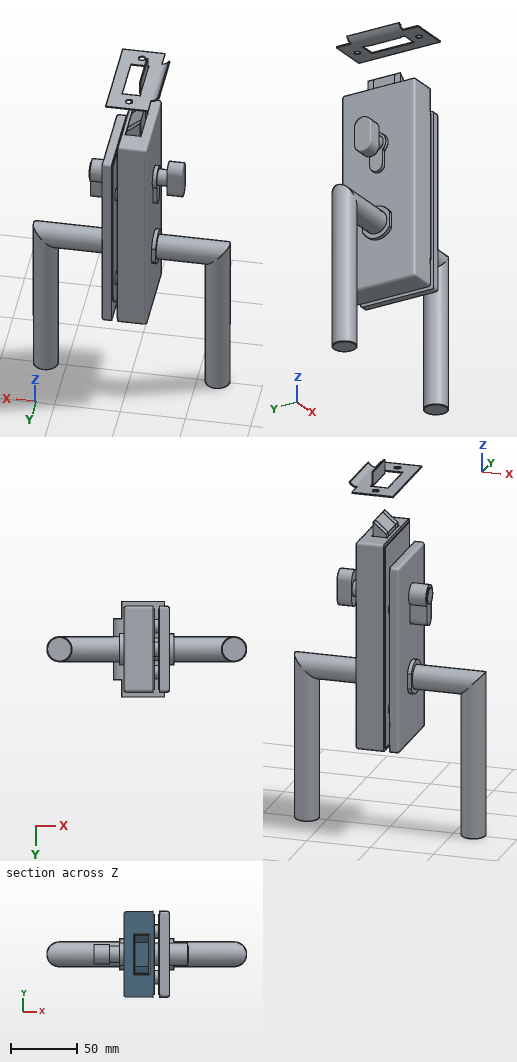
import cadquery as cq

LEVER_REACH = 75.2
LEVER_RADIUS = 9.5
LEVER_AXIS_Z = 121.7
LEVER_END_CHAMFER = 0.5

COVER_WIDTH = 64.9
COVER_BOTTOM_Z = 70.5
COVER_EDGE_RADIUS = 2.15
OUTER_FACE_X = 17.2
CASE_BACK_X = 5.0
CASE_TOP_Z = 236.0
PLATE_BACK_X = 9.8
PLATE_TOP_Z = 218.5
PAD_THICKNESS = 1.0
PAD_INSET = 2.3
PLATE_PAD_BOTTOM_INSET = 6.0
PLATE_PAD_CORNER_RADIUS = 22.5

ROSE_RADIUS = 13.2
ROSE_WIDTH = 23.5
ROSE_FACE_X = 20.5

STUD_RADIUS = 5.2
STUD_OFFSET_Y = 17.2
STUD_HEIGHTS = (101.3, 180.5)

CYLINDER_AXIS_Z = 187.5
CYLINDER_RADIUS = 8.5
CYLINDER_HEIGHT = 32.0
CYLINDER_WEB_WIDTH = 11.2
CYLINDER_BACK_X = 30.7
PLUG_RADIUS = 6.3
PLUG_END_X = 31.5
TURN_WIDTH = 15.0
TURN_HEIGHT = 28.7
TURN_FRONT_X = -40.0
TURN_BACK_X = -28.0
TURN_EDGE_RADIUS = 1.0

LATCH_FRONT_X = -9.0
LATCH_BACK_X = 1.5
LATCH_WIDTH = 28.7
LATCH_CENTRE_WIDTH = 18.5
LATCH_TIP_Z = 247.0
LATCH_SHOULDER_Z = 238.2
LATCH_POCKET_DEPTH = 14.3
LATCH_CLEARANCE = 1.0

STRIKE_FRONT_X = -19.0
STRIKE_BACK_X = 13.5
STRIKE_WIDTH = 72.0
STRIKE_BOTTOM_Z = 276.0
STRIKE_THICKNESS = 1.0
STRIKE_OPENING_FRONT_X = -9.8
STRIKE_OPENING_LENGTH = 13.8
STRIKE_OPENING_WIDTH = 37.3
STRIKE_HOLE_RADIUS = 2.5
STRIKE_HOLE_OFFSET_Y = 27.3
STRIKE_TOP_Z = 287.0
STRIKE_TAB_WIDTH = 29.8
LIP_WIDTH = 46.0
LIP_RADIUS = 7.0
LIP_ANGLE = 65.0


def box_between(x_start, x_end, width, z_bottom, z_top):
    """Box centred on Y = 0 between two X planes and two heights."""
    size_x = x_end - x_start
    box = cq.Workplane("XY").box(size_x, width, z_top - z_bottom, centered=(False, True, False))
    return box.translate((x_start, 0, z_bottom))


def rod_along_x(x_start, x_end, radius, y, z):
    """Round rod parallel to X."""
    plane = cq.Workplane("YZ", origin=(x_start, y, z))
    return plane.circle(radius).extrude(x_end - x_start)


def cylinder_profile(x_start, x_end):
    """Profile-cylinder section: a round barrel over a narrow web with a round foot."""
    barrel = rod_along_x(x_start, x_end, CYLINDER_RADIUS, 0, CYLINDER_AXIS_Z)
    foot_radius = CYLINDER_WEB_WIDTH / 2
    foot_z = CYLINDER_AXIS_Z + CYLINDER_RADIUS - CYLINDER_HEIGHT + foot_radius
    web = box_between(x_start, x_end, CYLINDER_WEB_WIDTH, foot_z, CYLINDER_AXIS_Z)
    foot = rod_along_x(x_start, x_end, foot_radius, 0, foot_z)
    return barrel.union(web).union(foot)


def rose(x_start, x_end):
    """Disc with two vertical side flats around the lever axis."""
    disc = rod_along_x(x_start, x_end, ROSE_RADIUS, 0, LEVER_AXIS_Z)
    z_bottom = LEVER_AXIS_Z - ROSE_RADIUS
    z_top = LEVER_AXIS_Z + ROSE_RADIUS
    return disc.intersect(box_between(x_start, x_end, ROSE_WIDTH, z_bottom, z_top))


def glass_pad(x_start, x_end, z_top, bottom_inset):
    """Thin raised pad, set in from the outline of a cover, that faces the glass."""
    pad_width = COVER_WIDTH - 2 * PAD_INSET
    return box_between(x_start, x_end, pad_width, COVER_BOTTOM_Z + bottom_inset, z_top - PAD_INSET)


def make_case():
    case = box_between(-OUTER_FACE_X, CASE_BACK_X, COVER_WIDTH, COVER_BOTTOM_Z, CASE_TOP_Z)
    case = case.edges("not >X").fillet(COVER_EDGE_RADIUS)
    case = case.union(rose(-ROSE_FACE_X, -OUTER_FACE_X))
    pad_face_x = CASE_BACK_X + PAD_THICKNESS
    case = case.union(glass_pad(CASE_BACK_X, pad_face_x, CASE_TOP_Z, PAD_INSET))
    latch_pocket = box_between(
        LATCH_FRONT_X - LATCH_CLEARANCE,
        LATCH_BACK_X + LATCH_CLEARANCE,
        LATCH_WIDTH + 2 * LATCH_CLEARANCE,
        CASE_TOP_Z - LATCH_POCKET_DEPTH,
        CASE_TOP_Z,
    )
    return case.cut(latch_pocket).cut(cylinder_profile(-ROSE_FACE_X, CYLINDER_BACK_X))


def make_plate():
    pad_face_x = PLATE_BACK_X - PAD_THICKNESS
    plate = box_between(PLATE_BACK_X, OUTER_FACE_X, COVER_WIDTH, COVER_BOTTOM_Z, PLATE_TOP_Z)
    plate = plate.edges("not <X").fillet(COVER_EDGE_RADIUS)
    plate = plate.union(rose(OUTER_FACE_X, ROSE_FACE_X))
    pad = glass_pad(pad_face_x, PLATE_BACK_X, PLATE_TOP_Z, PLATE_PAD_BOTTOM_INSET)
    pad = pad.faces("<Z").edges("|X").fillet(PLATE_PAD_CORNER_RADIUS)
    plate = plate.union(pad)
    for stud_z in STUD_HEIGHTS:
        for stud_y in (-STUD_OFFSET_Y, STUD_OFFSET_Y):
            stud = rod_along_x(CASE_BACK_X + PAD_THICKNESS, pad_face_x, STUD_RADIUS, stud_y, stud_z)
            plate = plate.union(stud)
    return plate.cut(cylinder_profile(-ROSE_FACE_X, CYLINDER_BACK_X))


def make_lever(side):
    """Mitred lever; side is -1 for the case side and +1 for the plate side."""
    grip_x = LEVER_REACH - LEVER_RADIUS
    top_z = LEVER_AXIS_Z + LEVER_RADIUS
    inner_z = LEVER_AXIS_Z - LEVER_RADIUS
    inner_x = LEVER_REACH - 2 * LEVER_RADIUS
    mitre_points = [(LEVER_REACH, top_z), (inner_x, inner_z), (inner_x, 0), (LEVER_REACH, 0)]
    grip_side = (
        cq.Workplane("XZ").polyline(mitre_points).close().extrude(LEVER_RADIUS, both=True)
    )
    neck = rod_along_x(ROSE_FACE_X, LEVER_REACH, LEVER_RADIUS, 0, LEVER_AXIS_Z).cut(grip_side)
    grip = cq.Workplane("XY").center(grip_x, 0).circle(LEVER_RADIUS).extrude(top_z)
    grip = grip.faces("<Z").chamfer(LEVER_END_CHAMFER).intersect(grip_side)
    lever = neck.union(grip)
    return lever if side > 0 else lever.mirror("YZ")


def make_cylinder():
    plug_end = rod_along_x(CYLINDER_BACK_X, PLUG_END_X, PLUG_RADIUS, 0, CYLINDER_AXIS_Z)
    return cylinder_profile(-ROSE_FACE_X, CYLINDER_BACK_X).union(plug_end)


def make_thumb_turn():
    knob = (
        cq.Workplane("YZ", origin=(TURN_FRONT_X, 0, CYLINDER_AXIS_Z))
        .slot2D(TURN_HEIGHT, TURN_WIDTH, 90)
        .extrude(TURN_BACK_X - TURN_FRONT_X)
        .faces("<X")
        .edges()
        .fillet(TURN_EDGE_RADIUS)
    )
    return knob.union(rod_along_x(TURN_BACK_X, -ROSE_FACE_X, PLUG_RADIUS, 0, CYLINDER_AXIS_Z))


def make_latch_piece(y_start, width):
    """One slice of the sloped latch, standing on the floor of the case pocket."""
    floor_z = CASE_TOP_Z - LATCH_POCKET_DEPTH
    return (
        cq.Workplane("XZ", origin=(0, y_start + width, 0))
        .moveTo(LATCH_FRONT_X, floor_z)
        .lineTo(LATCH_FRONT_X, LATCH_TIP_Z)
        .lineTo(LATCH_BACK_X, LATCH_SHOULDER_Z)
        .lineTo(LATCH_BACK_X, floor_z)
        .close()
        .extrude(width)
    )


def make_strike_lip():
    """Lip that curls up from the front edge of the strike plate."""
    edge = cq.Workplane("YZ", origin=(STRIKE_FRONT_X, 0, STRIKE_BOTTOM_Z + STRIKE_THICKNESS / 2))
    section = edge.rect(LIP_WIDTH, STRIKE_THICKNESS)
    curl_axis_z = LIP_RADIUS - STRIKE_THICKNESS / 2
    return section.revolve(LIP_ANGLE, (0, curl_axis_z, 0), (1, curl_axis_z, 0))


def make_strike():
    plate_top_z = STRIKE_BOTTOM_Z + STRIKE_THICKNESS
    strike = box_between(STRIKE_FRONT_X, STRIKE_BACK_X, STRIKE_WIDTH, STRIKE_BOTTOM_Z, plate_top_z)
    opening_back_x = STRIKE_OPENING_FRONT_X + STRIKE_OPENING_LENGTH
    opening = box_between(
        STRIKE_OPENING_FRONT_X, opening_back_x, STRIKE_OPENING_WIDTH, STRIKE_BOTTOM_Z, plate_top_z
    )
    strike = strike.cut(opening)
    hole_x = (STRIKE_OPENING_FRONT_X + opening_back_x) / 2
    for hole_y in (-STRIKE_HOLE_OFFSET_Y, STRIKE_HOLE_OFFSET_Y):
        hole = cq.Workplane("XY", origin=(hole_x, hole_y, STRIKE_BOTTOM_Z))
        strike = strike.cut(hole.circle(STRIKE_HOLE_RADIUS).extrude(STRIKE_THICKNESS))
    tab = box_between(
        STRIKE_OPENING_FRONT_X,
        STRIKE_OPENING_FRONT_X + STRIKE_THICKNESS,
        STRIKE_TAB_WIDTH,
        STRIKE_BOTTOM_Z,
        STRIKE_TOP_Z,
    )
    return strike.union(tab).union(make_strike_lip())


case = make_case()
plate = make_plate()
levers = [make_lever(side) for side in (-1, 1)]
cylinder = make_cylinder()
thumb_turn = make_thumb_turn()
strike = make_strike()

latch_bolt = make_latch_piece(-LATCH_CENTRE_WIDTH / 2, LATCH_CENTRE_WIDTH)
latch_side_width = (LATCH_WIDTH - LATCH_CENTRE_WIDTH) / 2
latch_sides = [
    make_latch_piece(y_start, latch_side_width)
    for y_start in (-LATCH_WIDTH / 2, LATCH_CENTRE_WIDTH / 2)
]

result = cq.Compound.makeCompound(
    [
        case.val(),
        plate.val(),
        *[lever.val() for lever in levers],
        cylinder.val(),
        thumb_turn.val(),
        latch_bolt.val(),
        *[piece.val() for piece in latch_sides],
        strike.val(),
    ]
)